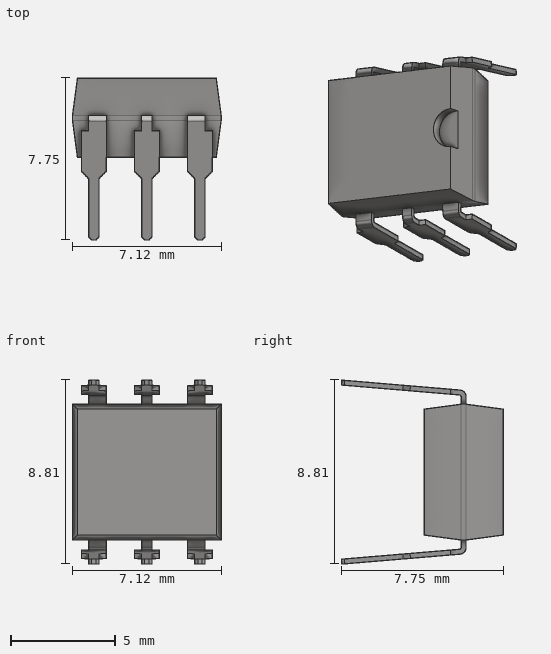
import cadquery as cq
import math


TOTAL_DEPTH = 7.75
TOTAL_HEIGHT = 8.81

HOUSING_WIDTH = 7.12
HOUSING_HEIGHT = 6.5
BACK_DEPTH = 1.9
FRONT_DEPTH = 1.885
DRAFT_ANGLE = 7.6
NOTCH_RADIUS = 0.925
NOTCH_DEPTH = 0.6

SHEET = 0.25
PITCH = 2.54
PIN_WIDTH = 0.5
BLADE_WIDTH = 1.2
INNER_BEND_RADIUS = 0.08
SPLAY_ANGLE = 4.8
TIP_CHAMFER = 0.15
PIN_LENGTH = 2.95
SHOULDER_FROM_TIP = 5.23

BAND_FACE = HOUSING_HEIGHT / 2
TIP_Y = BACK_DEPTH - TOTAL_DEPTH
OUTER_BEND_RADIUS = INNER_BEND_RADIUS + SHEET
PIN_EDGE = PIN_WIDTH / 2
BLADE_EDGE = BLADE_WIDTH / 2
TAPER_END = PIN_LENGTH + BLADE_EDGE - PIN_EDGE
SPLAY_SIN = math.sin(math.radians(SPLAY_ANGLE))
SPLAY_COS = math.cos(math.radians(SPLAY_ANGLE))
BEND_Y = -SHEET / 2 - INNER_BEND_RADIUS
LEG_LENGTH = (BEND_Y + INNER_BEND_RADIUS * SPLAY_SIN - TIP_Y) / SPLAY_COS
BEND_Z = TOTAL_HEIGHT / 2 - OUTER_BEND_RADIUS * SPLAY_COS - LEG_LENGTH * SPLAY_SIN


def make_housing():
    """Flat parting band with a tapered half on each side and a half-round notch at the back."""
    body = cq.Workplane("XZ").rect(HOUSING_WIDTH, HOUSING_HEIGHT).extrude(SHEET / 2, both=True)
    for side, depth in ((1, BACK_DEPTH), (-1, FRONT_DEPTH)):
        tapered_half = (
            cq.Workplane("XZ", origin=(0, side * SHEET / 2, 0))
            .rect(HOUSING_WIDTH, HOUSING_HEIGHT)
            .extrude(-side * (depth - SHEET / 2), taper=DRAFT_ANGLE)
        )
        body = body.union(tapered_half)

    back_inset = (BACK_DEPTH - SHEET / 2) * math.tan(math.radians(DRAFT_ANGLE))
    back_edge_x = back_inset - HOUSING_WIDTH / 2
    notch = (
        cq.Workplane("XZ", origin=(back_edge_x, BACK_DEPTH, 0))
        .circle(NOTCH_RADIUS)
        .extrude(NOTCH_DEPTH)
    )
    return body.cut(notch)


def bend_point(radius, angle):
    """Point (Y, Z) at an angle from +Y on an arc around the bend centre."""
    turn = math.radians(angle)
    return BEND_Y + radius * math.cos(turn), BEND_Z + radius * math.sin(turn)


def along_leg(start):
    """Point (Y, Z) one leg length further along the splayed leg."""
    return start[0] - LEG_LENGTH * SPLAY_COS, start[1] + LEG_LENGTH * SPLAY_SIN


def make_bent_strip():
    """Full-width strip that leaves the band face along +Z and bends into the splayed leg."""
    bend_end = 90 - SPLAY_ANGLE
    outer_end = bend_point(OUTER_BEND_RADIUS, bend_end)
    inner_end = bend_point(INNER_BEND_RADIUS, bend_end)
    return (
        cq.Workplane("YZ")
        .moveTo(SHEET / 2, BAND_FACE)
        .lineTo(SHEET / 2, BEND_Z)
        .threePointArc(bend_point(OUTER_BEND_RADIUS, bend_end / 2), outer_end)
        .lineTo(*along_leg(outer_end))
        .lineTo(*along_leg(inner_end))
        .lineTo(*inner_end)
        .threePointArc(bend_point(INNER_BEND_RADIUS, bend_end / 2), (-SHEET / 2, BEND_Z))
        .lineTo(-SHEET / 2, BAND_FACE)
        .close()
        .extrude(BLADE_EDGE, both=True)
    )


def make_lead(neck_left, neck_right):
    """Lead at X = 0 in the +Z row; the neck above the shoulders spans neck_left to neck_right."""
    tip_edge = PIN_EDGE - TIP_CHAMFER
    neck_end = LEG_LENGTH + 2 * OUTER_BEND_RADIUS
    tip = along_leg(bend_point(OUTER_BEND_RADIUS, 90 - SPLAY_ANGLE))
    leg_plane = cq.Plane(
        origin=(0, *tip), xDir=(1, 0, 0), normal=(0, SPLAY_SIN, SPLAY_COS)
    )
    blade = (
        cq.Workplane(leg_plane)
        .moveTo(-tip_edge, 0)
        .lineTo(tip_edge, 0)
        .lineTo(PIN_EDGE, TIP_CHAMFER)
        .lineTo(PIN_EDGE, PIN_LENGTH)
        .lineTo(BLADE_EDGE, TAPER_END)
        .lineTo(BLADE_EDGE, SHOULDER_FROM_TIP)
        .lineTo(-BLADE_EDGE, SHOULDER_FROM_TIP)
        .lineTo(-BLADE_EDGE, TAPER_END)
        .lineTo(-PIN_EDGE, PIN_LENGTH)
        .lineTo(-PIN_EDGE, TIP_CHAMFER)
        .close()
        .extrude(TOTAL_HEIGHT, both=True)
    )
    neck = (
        cq.Workplane(leg_plane)
        .moveTo(neck_left, TAPER_END)
        .lineTo(neck_right, TAPER_END)
        .lineTo(neck_right, neck_end)
        .lineTo(neck_left, neck_end)
        .close()
        .extrude(TOTAL_HEIGHT, both=True)
    )
    outline = blade.union(neck)
    return make_bent_strip().intersect(outline)


def make_leads():
    """Two mirrored rows of three; end leads keep full neck width on the side facing the middle."""
    leads = []
    for column in (-1, 0, 1):
        neck_left = -BLADE_EDGE if column == 1 else -PIN_EDGE
        neck_right = BLADE_EDGE if column == -1 else PIN_EDGE
        upper_lead = make_lead(neck_left, neck_right).translate((column * PITCH, 0, 0))
        leads.append(upper_lead.solids().val())
        leads.append(upper_lead.mirror("XY").solids().val())
    return leads


housing = make_housing()
leads = make_leads()

result = cq.Compound.makeCompound([housing.solids().val(), *leads])